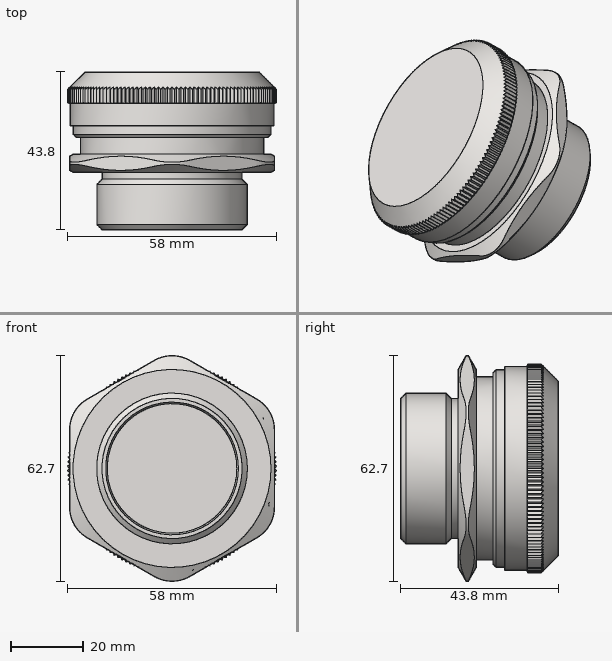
import cadquery as cq
import math

KNURL_END = 8.7
BAND_END = 15.0
SHOULDER_END = 18.2
HEX_START = 22.75
HEX_THICKNESS = 5.1
NECK_END = 29.7
LENGTH = 43.75

KNURL_DIAMETER = 58.0
KNURL_ROOT_DIAMETER = 56.8
BAND_DIAMETER = 56.7
KNURL_TEETH = 144
CAP_CONE_DEPTH = 4.75
KNURL_END_BEVEL = 0.25
BAND_CHAMFER = 0.2

SHOULDER_DIAMETER = 55.0
SHOULDER_CHAMFER = 0.95
COLLAR_DIAMETER = 51.0
NECK_DIAMETER = 38.95
SPIGOT_DIAMETER = 41.9

HEX_FLATS = 56.95
HEX_CORNERS = 62.7
HEX_FACE_DIAMETER = 55.0
HEX_HALF_ANGLE = 30
HEX_BEVEL_ANGLE = 30

RECESS_MOUTH_DIAMETER = 36.85
RECESS_FLOOR_DIAMETER = 36.0
RECESS_DEPTH = 0.75


def turned(profile):
    """Revolve (radius, distance from the back face) points, closed on the axis, about Y."""
    points = [(radius, -distance) for radius, distance in profile]
    return cq.Workplane("XY").polyline(points).close().revolve(360, (0, 0), (0, 1))


def make_body():
    """Plain band, shoulder, collar, neck and spigot as one turned piece."""
    band = BAND_DIAMETER / 2
    shoulder = SHOULDER_DIAMETER / 2
    collar = COLLAR_DIAMETER / 2
    neck = NECK_DIAMETER / 2
    spigot = SPIGOT_DIAMETER / 2
    spigot_chamfer = spigot - neck
    return turned([
        (0, KNURL_END),
        (band, KNURL_END),
        (band, BAND_END - BAND_CHAMFER),
        (band - BAND_CHAMFER, BAND_END),
        (shoulder, BAND_END),
        (shoulder, SHOULDER_END - SHOULDER_CHAMFER),
        (shoulder - SHOULDER_CHAMFER, SHOULDER_END),
        (collar, SHOULDER_END),
        (collar, HEX_START),
        (neck, HEX_START),
        (neck, NECK_END),
        (spigot, NECK_END + spigot_chamfer),
        (spigot, LENGTH - spigot_chamfer),
        (neck, LENGTH),
        (0, LENGTH),
    ])


def make_knurled_grip():
    """V-toothed prism coned at the back and bevelled down to the band; a tooth valley lies on +X."""
    tip = KNURL_DIAMETER / 2
    root = KNURL_ROOT_DIAMETER / 2
    band = BAND_DIAMETER / 2
    half_pitch = math.pi / KNURL_TEETH
    outline = []
    for tooth in range(KNURL_TEETH):
        valley_angle = 2 * tooth * half_pitch
        tip_angle = valley_angle + half_pitch
        outline.append((root * math.cos(valley_angle), root * math.sin(valley_angle)))
        outline.append((tip * math.cos(tip_angle), tip * math.sin(tip_angle)))
    toothed_prism = cq.Workplane("XZ").polyline(outline).close().extrude(KNURL_END)
    cone_envelope = turned([
        (0, 0),
        (tip - CAP_CONE_DEPTH, 0),
        (tip, CAP_CONE_DEPTH),
        (tip, KNURL_END - KNURL_END_BEVEL),
        (band, KNURL_END),
        (0, KNURL_END),
    ])
    return toothed_prism.intersect(cone_envelope)


def make_hex_flange():
    """Hexagon with flats on +X and -X, corner rounds tangent to the flats, bevels on both faces."""
    corner_ratio = 1 / math.cos(math.radians(HEX_HALF_ANGLE))
    sharp_corners = HEX_FLATS * corner_ratio
    corner_round = (sharp_corners - HEX_CORNERS) / 2 / (corner_ratio - 1)
    hexagon = (
        cq.Workplane("XZ", origin=(0, -HEX_START, 0))
        .transformed(rotate=(0, 0, HEX_HALF_ANGLE))
        .polygon(6, sharp_corners)
        .extrude(HEX_THICKNESS)
        .edges("|Y")
        .fillet(corner_round)
    )
    face_radius = HEX_FACE_DIAMETER / 2
    rim_radius = sharp_corners / 2
    bevel_depth = (rim_radius - face_radius) * math.tan(math.radians(HEX_BEVEL_ANGLE))
    hex_end = HEX_START + HEX_THICKNESS
    bevel_envelope = turned([
        (0, HEX_START),
        (face_radius, HEX_START),
        (rim_radius, HEX_START + bevel_depth),
        (rim_radius, hex_end - bevel_depth),
        (face_radius, hex_end),
        (0, hex_end),
    ])
    return hexagon.intersect(bevel_envelope)


def make_recess():
    """Cutter for the tapered recess in the front face."""
    floor = LENGTH - RECESS_DEPTH
    return turned([
        (0, floor),
        (RECESS_FLOOR_DIAMETER / 2, floor),
        (RECESS_MOUTH_DIAMETER / 2, LENGTH),
        (0, LENGTH),
    ])


result = make_body().union(make_knurled_grip()).union(make_hex_flange()).cut(make_recess())